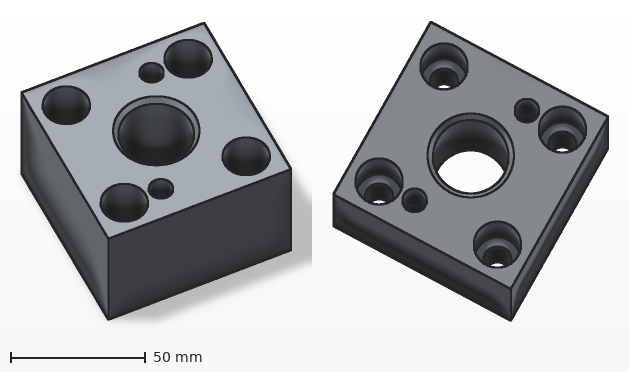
import cadquery as cq

BLOCK_SIDE = 75.0
BLOCK_HEIGHT = 50.0

BORE_DIAMETER = 28.0
BORE_CHAMFER = 2.0

BOLT_SPACING = 50.0
BOLT_DIAMETER = 10.5
BOLT_HEAD_DIAMETER = 17.5
BOLT_HEAD_DEPTH = BLOCK_HEIGHT / 2

DOWEL_X = BOLT_SPACING / 2
DOWEL_Y = 10.0
DOWEL_DIAMETER = 8.0
DOWEL_RELIEF_DIAMETER = 9.0
DOWEL_RELIEF_DEPTH = BLOCK_HEIGHT / 2


def make_block():
    """Plain square block standing on the XY plane."""
    return cq.Workplane("XY").box(BLOCK_SIDE, BLOCK_SIDE, BLOCK_HEIGHT, centered=(True, True, False))


def top_plane(body):
    """Workplane on the top face, centred on the block."""
    return body.faces(">Z").workplane(origin=(0, 0, BLOCK_HEIGHT))


def cut_bore(body):
    """Through bore, widened by a 45 degree chamfer at the top."""
    body = top_plane(body).hole(BORE_DIAMETER)
    return body.faces(">Z").edges("%CIRCLE").chamfer(BORE_CHAMFER)


def cut_stepped_holes(body, points, diameter, upper_diameter, upper_depth):
    """Through holes with a wider upper part of the given depth."""
    return top_plane(body).pushPoints(points).cboreHole(diameter, upper_diameter, upper_depth)


bolt_offset = BOLT_SPACING / 2
bolt_points = [(x, y) for x in (-bolt_offset, bolt_offset) for y in (-bolt_offset, bolt_offset)]
dowel_points = [(-DOWEL_X, DOWEL_Y), (DOWEL_X, -DOWEL_Y)]

result = cut_bore(make_block())
result = cut_stepped_holes(result, bolt_points, BOLT_DIAMETER, BOLT_HEAD_DIAMETER, BOLT_HEAD_DEPTH)
result = cut_stepped_holes(
    result, dowel_points, DOWEL_DIAMETER, DOWEL_RELIEF_DIAMETER, DOWEL_RELIEF_DEPTH
)